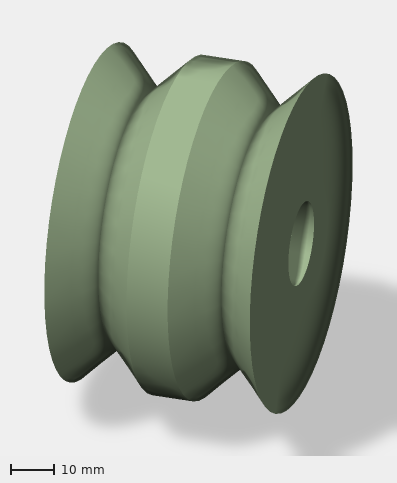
import cadquery as cq

outer_diameter = 80.0
bore_diameter = 20.0
groove_depth = 10.0
land_width = 10.0

flank_width = groove_depth
outer_radius = outer_diameter / 2
root_radius = outer_radius - groove_depth
bore_radius = bore_diameter / 2

land_end = land_width / 2
groove_root = land_end + flank_width
wheel_end = groove_root + flank_width


def make_wheel():
    """Revolve the half section, bore included, about the X axis."""
    section = cq.Workplane("XY").polyline([
        (-wheel_end, bore_radius),
        (-wheel_end, outer_radius),
        (-groove_root, root_radius),
        (-land_end, outer_radius),
        (land_end, outer_radius),
        (groove_root, root_radius),
        (wheel_end, outer_radius),
        (wheel_end, bore_radius),
    ]).close()
    return section.revolve(360, (0, 0, 0), (1, 0, 0))


result = make_wheel()